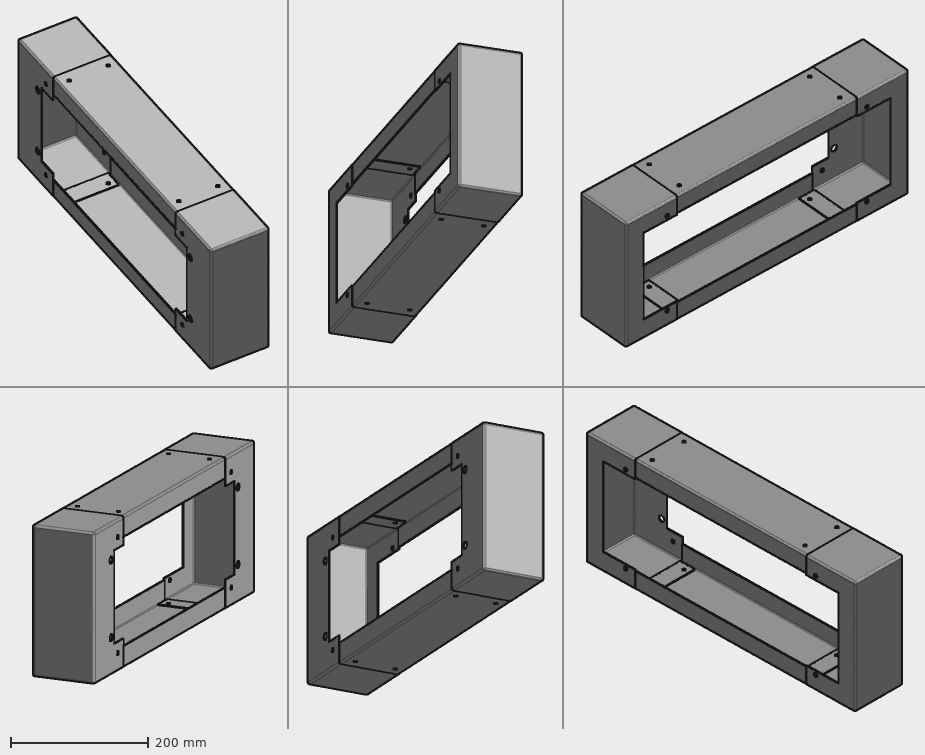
import cadquery as cq

length = 550.0
depth = 100.0
height = 230.0

sheet = 1.8

cap_bend = 3.6
cap_reach = 100.0
front_notch_depth = 32.0
front_notch_height = 141.5
back_notch_depth = 65.5
back_notch_height = 160.0
lug_hole_diameter = 6.5
lug_hole_inset = 19.0
lug_hole_spacing = 175.0
mount_hole_diameter = 11.0
mount_hole_inset = 42.5
mount_hole_spacing = 117.0

rail_bend = 3.5
rail_side_step = 0.5
rail_flange = 32.5
rail_length = length - 2 * cap_reach
rail_depth = depth - 2 * rail_side_step

plate_length = 30.0
plate_overlap = 1.0
plate_depth = 90.0

screw_hole_diameter = 5.5
screw_hole_inset = 18.5
screw_hole_spacing = 66.0

joint_x = length / 2 - cap_reach


def hole_pair_along_y(diameter, inset, z_spacing):
    """Two cylinders along Y through the whole frame, placed evenly about Z = 0."""
    x = joint_x + inset
    return (
        cq.Workplane("XZ")
        .pushPoints([(x, -z_spacing / 2), (x, z_spacing / 2)])
        .circle(diameter / 2)
        .extrude(depth, both=True)
    )


def screw_holes():
    """Cylinders along Z through the whole frame, two beside each joint."""
    x_spacing = 2 * (joint_x - screw_hole_inset)
    return (
        cq.Workplane("XY")
        .rect(x_spacing, screw_hole_spacing, forConstruction=True)
        .vertices()
        .circle(screw_hole_diameter / 2)
        .extrude(height, both=True)
    )


def rounded_block(x_size, y_size, z_size, radius):
    """Box with its +X end and the edges that run along X rounded."""
    return cq.Workplane("XY").box(x_size, y_size, z_size).edges(">X or |X").fillet(radius)


def flange_notch(notch_depth, notch_height, y_side):
    """Block that cuts back one cap flange from the joint; y_side is -1 for front, 1 for back."""
    block = cq.Workplane("XY").box(2 * notch_depth, depth, notch_height)
    return block.translate((joint_x, y_side * depth / 2, 0))


def make_end_cap():
    """End cap at the +X end."""
    outside = rounded_block(cap_reach, depth, height, cap_bend)
    inside = rounded_block(cap_reach, depth - 2 * sheet, height - 2 * sheet, cap_bend - sheet)
    shell = outside.cut(inside.translate((-sheet, 0, 0)))
    return (
        shell.translate((joint_x + cap_reach / 2, 0, 0))
        .cut(flange_notch(front_notch_depth, front_notch_height, -1))
        .cut(flange_notch(back_notch_depth, back_notch_height, 1))
        .cut(hole_pair_along_y(lug_hole_diameter, lug_hole_inset, lug_hole_spacing))
        .cut(hole_pair_along_y(mount_hole_diameter, mount_hole_inset, mount_hole_spacing))
    )


def top_rounded_bar(y_size, radius):
    """Bar as long and as tall as a rail, with its two upper long edges rounded."""
    bar = cq.Workplane("XY").box(rail_length, y_size, rail_flange)
    return bar.edges("|X and >Z").fillet(radius)


def make_rail():
    """Top rail: a channel open downward."""
    outside = top_rounded_bar(rail_depth, rail_bend)
    inside = top_rounded_bar(rail_depth - 2 * sheet, rail_bend - sheet)
    channel = outside.cut(inside.translate((0, 0, -sheet)))
    return channel.translate((0, 0, (height - rail_flange) / 2)).cut(screw_holes())


def make_joint_plate():
    """Joint plate under the top webs at the +X joint."""
    center_x = joint_x + plate_overlap - plate_length / 2
    center_z = height / 2 - 1.5 * sheet
    plate = cq.Workplane("XY").box(plate_length, plate_depth, sheet)
    return plate.translate((center_x, 0, center_z)).cut(screw_holes())


right_cap = make_end_cap()
left_cap = right_cap.mirror("YZ")

top_rail = make_rail()
bottom_rail = top_rail.mirror("XY")

joint_plates = []
for end_plate in (make_joint_plate(), make_joint_plate().mirror("YZ")):
    joint_plates.append(end_plate.val())
    joint_plates.append(end_plate.mirror("XY").val())

result = cq.Compound.makeCompound(
    [right_cap.val(), left_cap.val(), top_rail.val(), bottom_rail.val(), *joint_plates]
)